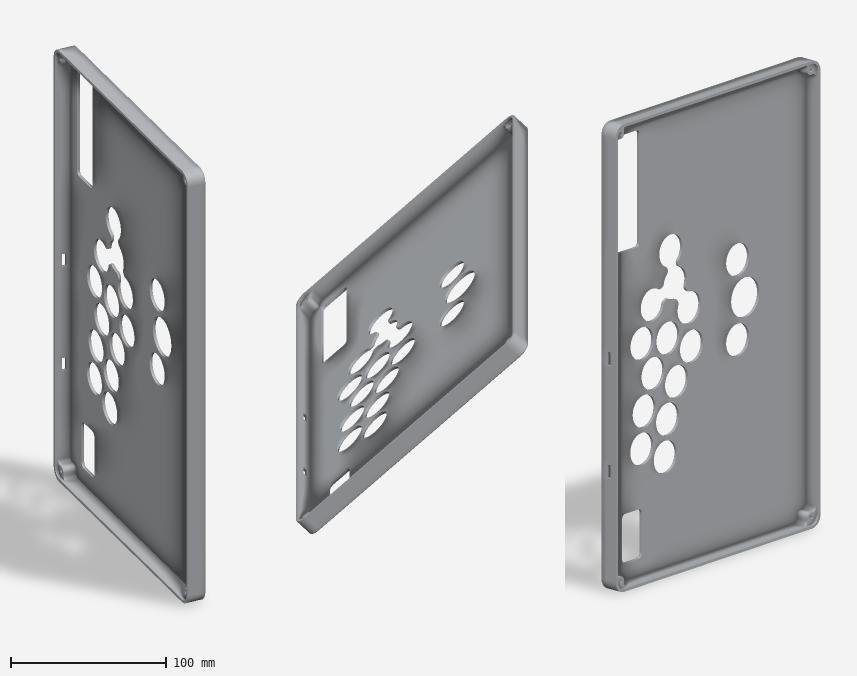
import cadquery as cq
import math

WIDTH = 196.0
DEPTH = 13.0
HEIGHT = 316.0
WALL = 2.0
PANEL = 2.0
CORNER_RADIUS = 8.0
BACK_FILLET = 1.0

FRONT_Y = -DEPTH / 2
PANEL_Y = DEPTH / 2 - PANEL
CAVITY_DEPTH = DEPTH - PANEL

SCREW_DIAMETER = 2.46
SCREW_INSET = 7.0
SCREW_HOLE_DEPTH = 7.0
DRILL_POINT_ANGLE = 118.0
BOSS_RADIUS = 3.1
BOSS_BLEND = 3.0
BOSS_RECESS = 2.0
BOSS_HEIGHT = CAVITY_DEPTH - BOSS_RECESS

BUTTON_DIAMETER = 22.0
BUTTONS = [
    (-60.8, 0.4),
    (-35.9, -1.8),
    (-13.4, -12.6),
    (-50.2, -22.3),
    (-27.7, -33.1),
    (-58.7, -45.8),
    (-36.3, -56.5),
    (-61.0, -70.8),
    (-38.5, -81.5),
]

HUB = (-29.1, 33.8)
HUB_NEIGHBOURS = [(-33.2, 56.7), (-50.9, 24.2), (-15.7, 14.1)]
NECK_WIDTH = 10.0
NECK_FILLET = 2.8

LARGE_DIAMETER = 27.0
LARGE_CENTRE = (38.1, 8.3)
SIDE_BUTTON_X = 30.8
SIDE_BUTTON_OFFSET = 27.1

UPPER_WINDOW = ((-74.8, 106.2), (22.7, 79.2), 3.0)
LOWER_WINDOW = ((-70.4, -127.5), (19.2, 33.5), 3.5)

SLOT_WIDTH = 3.4
SLOT_HEIGHT = 9.2
SLOT_LEVELS = (0.0, -76.2)


def front_plane(y):
    """XZ plane at the given y whose sketches extrude towards +Y; local y points along -Z."""
    return cq.Plane(origin=(0, y, 0), xDir=(1, 0, 0), normal=(0, 1, 0))


def bar(y_start, length, size_x, size_z, corner, centre=(0, 0)):
    """Rounded rectangular bar running along +Y."""
    x, z = centre
    block = cq.Workplane(front_plane(y_start)).center(x, -z).rect(size_x, size_z).extrude(length)
    return block.edges("|Y").fillet(corner)


def rod(y_start, length, diameter, centre):
    """Cylinder running along +Y."""
    x, z = centre
    return cq.Workplane(front_plane(y_start)).center(x, -z).circle(diameter / 2).extrude(length)


def tray():
    body = bar(FRONT_Y, DEPTH, WIDTH, HEIGHT, CORNER_RADIUS)
    body = body.faces(">Y").edges().fillet(BACK_FILLET)
    cavity = bar(FRONT_Y, CAVITY_DEPTH, WIDTH - 2 * WALL, HEIGHT - 2 * WALL, CORNER_RADIUS - WALL)
    return body.cut(cavity)


def screw_hole():
    """Blind drilled hole with a conical end, in the +X +Z corner boss."""
    radius = SCREW_DIAMETER / 2
    tip = radius / math.tan(math.radians(DRILL_POINT_ANGLE / 2))
    half_profile = (
        cq.Workplane("XY")
        .lineTo(radius, 0)
        .lineTo(radius, SCREW_HOLE_DEPTH)
        .lineTo(0, SCREW_HOLE_DEPTH + tip)
        .close()
    )
    drill = half_profile.revolve(360, (0, 0, 0), (0, 1, 0))
    return drill.translate((WIDTH / 2 - SCREW_INSET, FRONT_Y + BOSS_RECESS, HEIGHT / 2 - SCREW_INSET))


def corner_boss():
    """Screw boss in the +X +Z corner, blended into both walls."""
    wall_x = WIDTH / 2 - WALL
    wall_z = HEIGHT / 2 - WALL
    edge_x = WIDTH / 2 - SCREW_INSET - BOSS_RADIUS
    edge_z = HEIGHT / 2 - SCREW_INSET - BOSS_RADIUS
    outline = (
        cq.Workplane(front_plane(FRONT_Y + BOSS_RECESS))
        .moveTo(wall_x, -wall_z)
        .lineTo(edge_x - BOSS_BLEND, -wall_z)
        .radiusArc((edge_x, -(wall_z - BOSS_BLEND)), -BOSS_BLEND)
        .lineTo(edge_x, -(edge_z + BOSS_RADIUS))
        .radiusArc((edge_x + BOSS_RADIUS, -edge_z), BOSS_RADIUS)
        .lineTo(wall_x - BOSS_BLEND, -edge_z)
        .radiusArc((wall_x, -(edge_z - BOSS_BLEND)), -BOSS_BLEND)
        .close()
    )
    boss = outline.extrude(BOSS_HEIGHT)
    envelope = bar(FRONT_Y, DEPTH, WIDTH - WALL, HEIGHT - WALL, CORNER_RADIUS - WALL / 2)
    return boss.intersect(envelope).cut(screw_hole())


def corner_bosses():
    right_pair = corner_boss()
    right_pair = right_pair.union(right_pair.mirror("XY"))
    return right_pair.union(right_pair.mirror("YZ"))


def joined_buttons():
    """Through-cut of the hub hole, its neighbours and the necks between them."""
    cut = rod(PANEL_Y, PANEL, BUTTON_DIAMETER, HUB)
    hub = cq.Vector(HUB[0], PANEL_Y, HUB[1])
    for x, z in HUB_NEIGHBOURS:
        neighbour = cq.Vector(x, PANEL_Y, z)
        along = neighbour - hub
        middle = (hub + neighbour) * 0.5
        plane = cq.Plane(origin=middle.toTuple(), xDir=along.toTuple(), normal=(0, 1, 0))
        neck = cq.Workplane(plane).rect(along.Length, NECK_WIDTH).extrude(PANEL)
        cut = cut.union(rod(PANEL_Y, PANEL, BUTTON_DIAMETER, (x, z))).union(neck)
    return cut.edges("|Y").fillet(NECK_FILLET)


def panel_openings():
    cut = joined_buttons()
    large_z = LARGE_CENTRE[1]
    side_buttons = [(SIDE_BUTTON_X, large_z + side * SIDE_BUTTON_OFFSET) for side in (-1, 1)]
    for centre in BUTTONS + side_buttons:
        cut = cut.union(rod(PANEL_Y, PANEL, BUTTON_DIAMETER, centre))
    cut = cut.union(rod(PANEL_Y, PANEL, LARGE_DIAMETER, LARGE_CENTRE))
    for centre, size, corner in (UPPER_WINDOW, LOWER_WINDOW):
        cut = cut.union(bar(PANEL_Y, PANEL, *size, corner, centre))
    return cut


def wall_slots():
    wall_centre_x = -(WIDTH - WALL) / 2
    centres = [(wall_centre_x, 0, z) for z in SLOT_LEVELS]
    return cq.Workplane().pushPoints(centres).box(WALL, SLOT_WIDTH, SLOT_HEIGHT)


result = tray().union(corner_bosses()).cut(panel_openings()).cut(wall_slots())